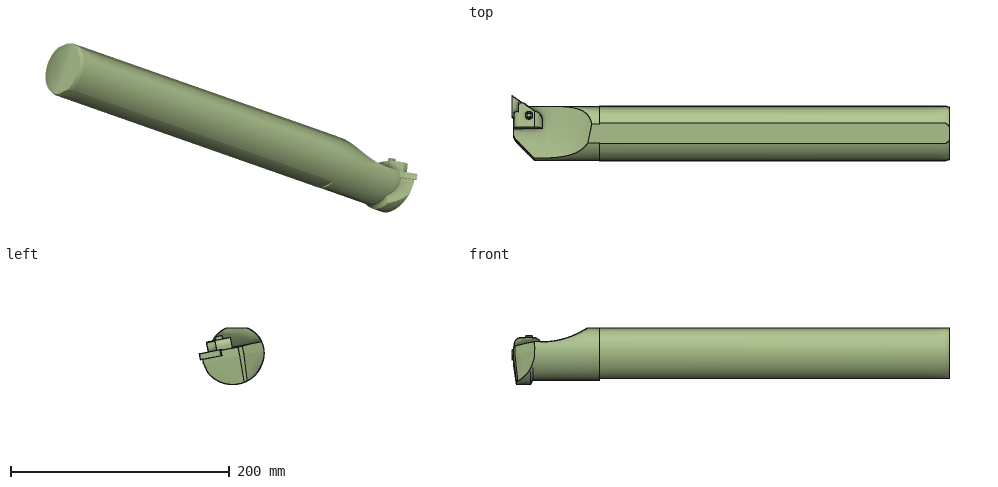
import cadquery as cq
import math

bar_length = 400.0
shank_radius = 25.0
neck_radius = 24.8
neck_length = 80.0
flat_height = 23.0
end_chamfer_length = 3.5
end_chamfer_depth = 1.0
clear = 160.0

head_radius = 28.8
head_offset = head_radius - neck_radius
head_length = 16.8
head_cone_length = 2.5

tilt = 11.0
rake_height = 6.0
rake_floor_end = 28.0
runout_radius = 64.0
runout_sweep = 60.0
land_length = 10.8
land_drop = 0.8

front_x = 1.0
relief_band = 8.8
relief_angle = 7.0
corner_start = -2.0
corner_end = (2.8, -6.0)
lead_end = (22.5, -26.5)

insert_tip = 34.0
insert_side = 19.0
insert_angle = 55.0
insert_thickness = 5.5
shim_setback = 1.0

clamp_front = 2.0
clamp_back = 28.0
clamp_side = 3.0
clamp_shoulder = 17.5
clamp_arm_start = 6.0
clamp_arm_end = 10.8
clamp_arm_tip = 25.5
clamp_top = 15.0
clamp_top_start = 8.8
clamp_top_end = 20.8
clamp_lip = 8.8
clamp_back_bulge = (25.5, 12.0)
clamp_root = rake_height - 1.5
screw_x = 15.5
screw_y = 13.5
screw_diameter = 6.8
screw_top = 18.5
socket_diameter = 3.9
socket_depth = 2.5

insert_run = insert_side * math.sin(math.radians(insert_angle))
insert_fall = insert_side * math.cos(math.radians(insert_angle))


def to_bar(body):
    """Turn a body from the tool frame into the frame of the bar."""
    return body.rotate((0, 0, 0), (1, 0, 0), -tilt)


def make_bar():
    neck = cq.Workplane("YZ").circle(neck_radius).extrude(neck_length)
    neck_top = cq.Workplane("XY").box(2 * clear, clear, clear, centered=(True, True, False))
    neck = neck.cut(neck_top.translate((0, 0, flat_height)))
    shank = (
        cq.Workplane("XZ")
        .moveTo(neck_length, 0)
        .lineTo(neck_length, shank_radius)
        .lineTo(bar_length - end_chamfer_length, shank_radius)
        .lineTo(bar_length, shank_radius - end_chamfer_depth)
        .lineTo(bar_length, 0)
        .close()
        .revolve(360, (0, 0, 0), (1, 0, 0))
    )
    flats = cq.Workplane("XY").box(bar_length, clear, 2 * flat_height)
    flats = flats.translate((bar_length / 2, 0, 0))
    return neck.union(shank.intersect(flats))


def make_head():
    """Eccentric nose, blended to the neck and trimmed along the trailing side of the insert."""
    nose = cq.Workplane("YZ").center(head_offset, 0).circle(head_radius).extrude(head_length)
    blend = (
        cq.Workplane("YZ", origin=(head_length, head_offset, 0))
        .circle(head_radius)
        .workplane(offset=head_cone_length)
        .center(-head_offset, 0)
        .circle(neck_radius)
        .loft()
    )
    trim_slope = insert_fall / insert_run
    trim_start = insert_tip - shim_setback
    outline = [
        (-clear, trim_start + clear * trim_slope),
        (clear, trim_start - clear * trim_slope),
        (clear, -2 * clear),
        (-clear, -2 * clear),
    ]
    return nose.union(blend).intersect(relieved_prism(outline))


def relieved_prism(outline):
    """Prism with upright sides in the top band and sides leaning inward below it."""
    upper = cq.Workplane("XY", origin=(0, 0, rake_height - relief_band)).polyline(outline).close().extrude(clear)
    lower = (
        cq.Workplane("XY", origin=(0, 0, rake_height - relief_band))
        .polyline(outline)
        .close()
        .extrude(-clear / 2, taper=relief_angle)
    )
    return to_bar(upper.union(lower))


def make_front_envelope():
    """Space left inside the front face, the corner face and the oblique lead face."""
    lead_slope = (lead_end[1] - corner_end[1]) / (lead_end[0] - corner_end[0])
    outline = [
        (front_x, clear),
        (front_x, corner_start),
        corner_end,
        (corner_end[0] + clear, corner_end[1] + clear * lead_slope),
        (2 * bar_length, corner_end[1] + clear * lead_slope),
        (2 * bar_length, clear),
    ]
    return relieved_prism(outline)


def make_rake_cut():
    """Chip space: sloping front land, flat floor and cylindrical run-out."""
    arc_end = math.radians(runout_sweep)
    arc_mid = arc_end / 2

    def runout(angle):
        return (
            rake_floor_end + runout_radius * math.sin(angle),
            rake_height + runout_radius * (1 - math.cos(angle)),
        )

    cut = (
        cq.Workplane("XZ")
        .moveTo(0, rake_height - land_drop)
        .lineTo(land_length, rake_height)
        .lineTo(rake_floor_end, rake_height)
        .threePointArc(runout(arc_mid), runout(arc_end))
        .lineTo(0, runout(arc_end)[1])
        .close()
        .extrude(clear / 2, both=True)
    )
    return to_bar(cut)


def make_insert():
    insert = (
        cq.Workplane("XY", origin=(0, 0, rake_height - insert_thickness))
        .moveTo(0, insert_tip)
        .lineTo(0, insert_tip - insert_side)
        .lineTo(insert_run, insert_tip - insert_side - insert_fall)
        .lineTo(insert_run, insert_tip - insert_fall)
        .close()
        .extrude(insert_thickness)
    )
    return to_bar(insert)


def make_clamp():
    """Clamp finger with its screw head, rising from the rake face."""
    top_round = clamp_top - clamp_lip
    nose_round = clamp_top_start - clamp_front
    diagonal = math.sqrt(0.5)
    profile = (
        cq.Workplane("XZ")
        .moveTo(clamp_front, clamp_root)
        .lineTo(clamp_front, clamp_lip)
        .threePointArc(
            (clamp_top_start - nose_round * diagonal, clamp_lip + top_round * diagonal),
            (clamp_top_start, clamp_top),
        )
        .lineTo(clamp_top_end, clamp_top)
        .threePointArc(clamp_back_bulge, (clamp_back, rake_height))
        .lineTo(clamp_back, clamp_root)
        .close()
        .extrude(clear / 2, both=True)
    )
    corner_radius = clamp_back - clamp_top_end
    plan = (
        cq.Workplane("XY")
        .moveTo(clamp_front, clamp_side)
        .lineTo(clamp_back, clamp_side)
        .lineTo(clamp_back, clamp_shoulder - corner_radius)
        .threePointArc(
            (clamp_top_end + corner_radius * diagonal, clamp_shoulder - corner_radius * (1 - diagonal)),
            (clamp_top_end, clamp_shoulder),
        )
        .lineTo(clamp_arm_end, clamp_arm_tip)
        .lineTo(clamp_arm_start, clamp_arm_tip)
        .lineTo(clamp_arm_start, clamp_shoulder)
        .lineTo(clamp_front, clamp_shoulder)
        .close()
        .extrude(clear)
    )
    screw = cq.Workplane("XY", origin=(screw_x, screw_y, rake_height)).circle(screw_diameter / 2)
    screw = screw.extrude(screw_top - rake_height)
    socket = cq.Workplane("XY", origin=(screw_x, screw_y, screw_top)).circle(socket_diameter / 2)
    socket = socket.extrude(-socket_depth)
    return to_bar(profile.intersect(plan).union(screw).cut(socket))


insert = make_insert()
holder = make_bar().union(make_head())
holder = holder.intersect(make_front_envelope()).cut(make_rake_cut())
holder = holder.union(make_clamp()).cut(insert)

result = cq.Compound.makeCompound([holder.val(), insert.val()])